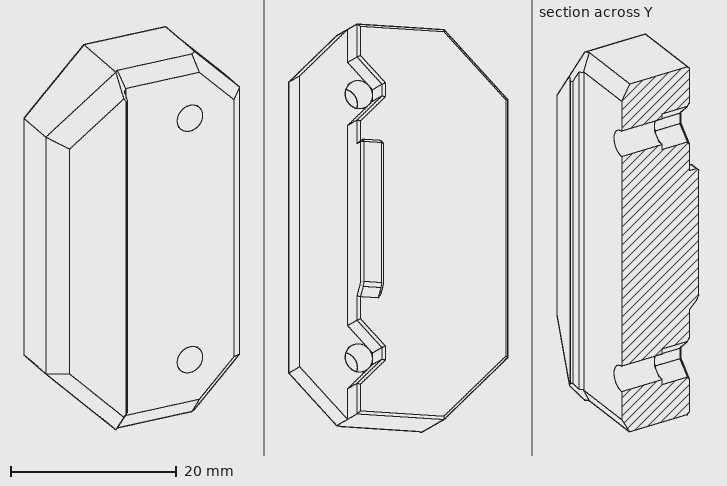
import cadquery as cq
import math

height = 48.0
depth = 25.3
crest_x = 11.2
half_height = height / 2
front_corner = 8.1
back_corner = 6.1
front_corner_z = half_height - front_corner
step_y = depth - back_corner

face_slope = 1 / 3
crest_y = 8.35
crest_bevel = 0.2
lip_back_y = 8.7
lip_root_leg = 0.45
lip_runout = 0.5
front_side_x = 6.25
front_bevel_y = 1.8
end_bevel_x = 2.2
end_bevel_z = 2.7

back_face_x = 9.7
back_bevel = 1.6
back_end_bevel_x = 1.15
back_end_bevel_z = 2.05

step_x = 3.95
edge_chamfer = 0.35

hole_radius = 1.75
mouth_overlap = 0.5
hole_y = 17.75
hole_spacing = 32.4
hole_drop = 0.15
hole_heights = [hole_spacing / 2 - hole_drop, -hole_spacing / 2 - hole_drop]

ridge_height = 1.3
ridge_width = 2.95
ridge_half_length = 9.6
ridge_chamfer = 0.35

cut_size = 3 * height


def slope_x(y):
    """X of the sloping front face at a given Y."""
    return crest_x - (crest_y - y) * face_slope


def trim(body, a, b, c):
    """Remove what lies on the +X side of the plane through three points."""
    a, b, c = cq.Vector(*a), cq.Vector(*b), cq.Vector(*c)
    normal = (b - a).cross(c - a)
    if normal.x < 0:
        normal = normal * -1
    plane = cq.Plane(origin=a.toTuple(), normal=normal.toTuple())
    return body.cut(cq.Workplane(plane).rect(cut_size, cut_size).extrude(cut_size))


def extrude_height(points):
    """Full-height prism of an XY outline."""
    return cq.Workplane("XY").polyline(points).close().extrude(half_height, both=True)


def octagon_prism():
    """Side outline with cut corners, extruded along X."""
    points = [
        (0, front_corner_z),
        (front_corner, half_height),
        (step_y, half_height),
        (depth, half_height - back_corner),
        (depth, back_corner - half_height),
        (step_y, -half_height),
        (front_corner, -half_height),
        (0, -front_corner_z),
    ]
    return cq.Workplane("YZ").polyline(points).close().extrude(crest_x)


def front_part():
    """Sloping part up to the crest and its lip, with all its bevels."""
    body = extrude_height([
        (0, 0),
        (slope_x(0), 0),
        (crest_x, crest_y),
        (crest_x, lip_back_y - crest_bevel),
        (crest_x - crest_bevel, lip_back_y),
        (back_face_x + lip_root_leg, lip_back_y),
        (back_face_x, lip_back_y + lip_root_leg),
        (0, lip_back_y + lip_root_leg),
    ])
    body = trim(
        body,
        (front_side_x, 0, 0),
        (front_side_x, 0, 0.5),
        (slope_x(front_bevel_y), front_bevel_y, 0),
    )
    corner_x = front_side_x + front_corner * face_slope
    for side in (1, -1):
        end_edge = (corner_x, front_corner, side * half_height)
        end_crest = (corner_x + end_bevel_x, front_corner, side * (half_height - end_bevel_z))
        body = trim(body, (front_side_x, 0, side * front_corner_z), end_edge, end_crest)
        lip_end = (corner_x - lip_runout, front_corner + lip_runout, side * half_height)
        body = trim(body, end_edge, end_crest, lip_end)
    return body


def back_part():
    """Flat part behind the crest, bevelled along its back, corners and ends."""
    edge_x = back_face_x - back_bevel
    body = extrude_height([
        (0, front_corner),
        (back_face_x, front_corner),
        (back_face_x, depth - back_bevel),
        (edge_x, depth),
        (0, depth),
    ])
    corner_inset = back_bevel * math.sqrt(2)
    end_x = back_face_x - back_end_bevel_x
    for side in (1, -1):
        end_z = side * half_height
        body = trim(
            body,
            (edge_x, step_y, end_z),
            (edge_x, depth, side * (half_height - back_corner)),
            (back_face_x, step_y - corner_inset, end_z),
        )
        body = trim(
            body,
            (end_x, front_corner, end_z),
            (end_x, step_y, end_z),
            (back_face_x, front_corner, side * (half_height - back_end_bevel_z)),
        )
    return body


def step_cutter():
    """Clears the -X side behind the step, with a notch around each hole."""
    cutter = cq.Workplane("XY").box(step_x, depth, cut_size, centered=(False, False, True))
    cutter = cutter.translate((0, step_y, 0))
    flat_half = hole_radius * math.tan(math.pi / 8)
    notch_y = hole_y - hole_radius
    mouth_y = step_y + mouth_overlap
    mouth_half = flat_half + mouth_y - notch_y
    for z in hole_heights:
        points = [
            (notch_y, z - flat_half),
            (notch_y, z + flat_half),
            (mouth_y, z + mouth_half),
            (mouth_y, z - mouth_half),
        ]
        cutter = cutter.union(cq.Workplane("YZ").polyline(points).close().extrude(step_x))
    return cutter


def screw_holes():
    """Two through holes along X."""
    points = [(hole_y, z) for z in hole_heights]
    return cq.Workplane("YZ").pushPoints(points).circle(hole_radius).extrude(crest_x)


def ridge():
    """Chamfered bar with a 45-degree lower end, flush with the step wall."""
    root_x = edge_chamfer
    points = [
        (-ridge_height, ridge_half_length),
        (root_x, ridge_half_length),
        (root_x, -ridge_half_length - root_x),
        (-ridge_height, ridge_height - ridge_half_length),
    ]
    bar = cq.Workplane("XZ", origin=(0, step_y, 0)).polyline(points).close().extrude(ridge_width)
    return bar.edges("not(>X)").chamfer(ridge_chamfer)


body = front_part().union(back_part()).intersect(octagon_prism())
body = body.cut(step_cutter())
body = body.faces("<X").edges().chamfer(edge_chamfer)
result = body.cut(screw_holes()).union(ridge())